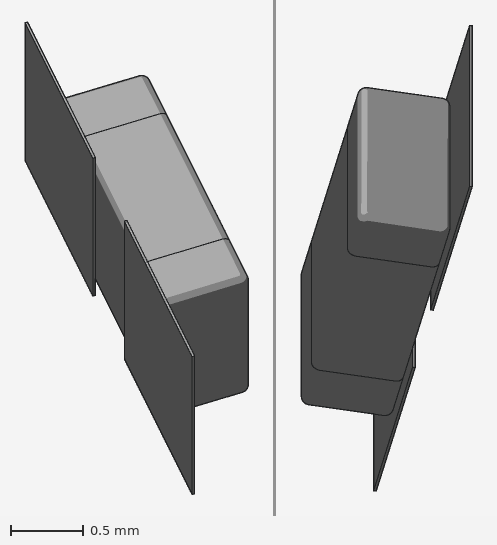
import cadquery as cq

overall_length = 3.2
overall_depth = 0.67

pad_length = 1.3
pad_height = 1.5
pad_thickness = 0.02

chip_length = 2.0
chip_height = 1.25
chip_depth = overall_depth - pad_thickness
terminal_length = 0.4
edge_radius = 0.06

core_length = chip_length - 2 * terminal_length
pad_offset = (overall_length - pad_length) / 2
terminal_offset = (chip_length - terminal_length) / 2


def make_chip_section(length, center_x):
    """Cut one length of the rounded chip, whose front face lies on Y = 0."""
    chip_center_y = chip_depth / 2
    outline = (
        cq.Workplane("XY")
        .box(chip_length, chip_depth, chip_height)
        .edges()
        .fillet(edge_radius)
        .translate((0, chip_center_y, 0))
    )
    section = (
        cq.Workplane("XY")
        .box(length, chip_depth, chip_height)
        .translate((center_x, chip_center_y, 0))
    )
    return outline.intersect(section).solids()


def make_core():
    return make_chip_section(core_length, 0)


def make_terminal(side):
    return make_chip_section(terminal_length, side * terminal_offset)


def make_pad(side):
    """Make a thin plate whose back face touches the chip's front face."""
    return (
        cq.Workplane("XY")
        .box(pad_length, pad_thickness, pad_height)
        .translate((side * pad_offset, -pad_thickness / 2, 0))
    )


core = make_core()
terminals = [make_terminal(side) for side in (-1, 1)]
pads = [make_pad(side) for side in (-1, 1)]

result = cq.Compound.makeCompound(
    [
        core.val(),
        *[terminal.val() for terminal in terminals],
        *[pad.val() for pad in pads],
    ]
)